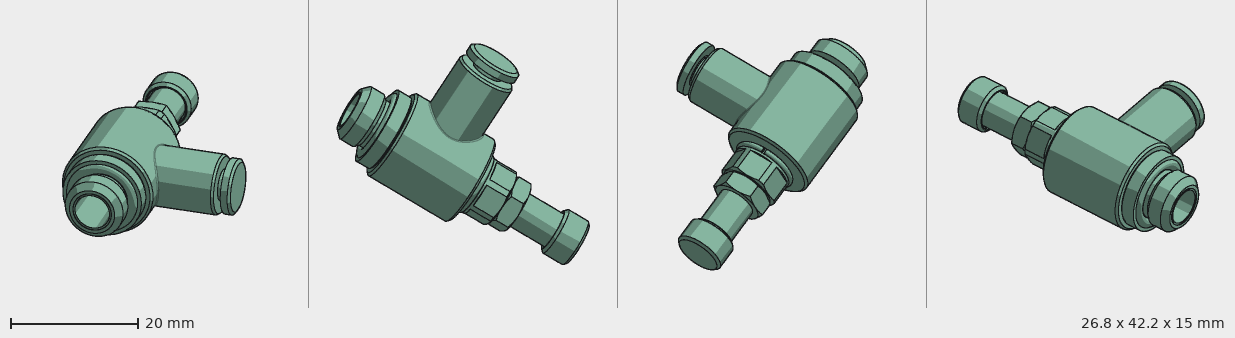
import cadquery as cq
import math


BARREL_D = 15.0
BARREL_LENGTH = BARREL_D
BARREL_CHAMFER = 0.4
BRANCH_D = 9.7
BRANCH_END_X = 16.7
BRANCH_CHAMFER_LENGTH = 0.42
BRANCH_CHAMFER_DEPTH = 0.25
BRANCH_ROOT_FILLET = 0.2
COLLET_NECK_D = 5.1
COLLET_ROOT_LENGTH = 0.15
COLLET_ROOT_HEIGHT = 0.13
COLLET_D = 9.0
COLLET_THICKNESS = 1.5
COLLET_CHAMFER_LENGTH = 0.4
COLLET_CHAMFER_DEPTH = 0.55
TOTAL_X = 26.8

CORE_D = 8.75
FLANGE_D = 13.0
FLANGE_THICKNESS = 2.5
FLANGE_CHAMFER = 0.2
SEAL_D = 11.9
SEAL_PROTRUSION = 0.55
NECK_D = 8.3
NECK_LENGTH = 0.97
THREAD_D = 9.6
THREAD_LENGTH = 4.15
THREAD_TIP_CHAMFER = 1.05
BORE_D = 5.7
BORE_MOUTH_D = 6.35
BORE_MOUTH_DEPTH = 0.1
ORIFICE_D = 2.7
ORIFICE_DEPTH = 4.22

RING_D = 10.48
RING_WIRE_D = 0.97
RING_GAP = 0.5
COLLAR_START_Y = 8.6
COLLAR_THICKNESS = 0.45
BIG_HEX_FLATS = 9.0
BIG_HEX_CORNER_D = 9.85
BIG_HEX_TOP_D = 8.75
BIG_HEX_END_Y = 13.15
NUT_FLATS = 8.0
NUT_THICKNESS = 2.9
HEX_CHAMFER_ANGLE = 30.0
STEM_D = 6.0
KNOB_D = 8.0
KNOB_LENGTH = 4.5
KNOB_TOP_CHAMFER = 0.42
KNOB_BOTTOM_CHAMFER = 0.5
KNOB_RECESS_D = 6.6
KNOB_RECESS_DEPTH = 0.5
TOTAL_Y = 42.25

BARREL_TOP_Y = BARREL_LENGTH / 2
BARREL_BOTTOM_Y = -BARREL_LENGTH / 2
FLANGE_BOTTOM_Y = BARREL_BOTTOM_Y - FLANGE_THICKNESS
THREAD_TOP_Y = FLANGE_BOTTOM_Y - NECK_LENGTH
THREAD_BOTTOM_Y = THREAD_TOP_Y - THREAD_LENGTH
COLLAR_END_Y = COLLAR_START_Y + COLLAR_THICKNESS
NUT_END_Y = BIG_HEX_END_Y + NUT_THICKNESS
KNOB_TOP_Y = THREAD_BOTTOM_Y + TOTAL_Y
KNOB_BOTTOM_Y = KNOB_TOP_Y - KNOB_LENGTH


def turned(profile):
    """Solid of revolution about Y from (diameter, y) points; the ends close on the axis."""
    points = [(diameter / 2, y) for diameter, y in profile]
    outline = [(0, points[0][1]), *points, (0, points[-1][1])]
    return cq.Workplane("XY").polyline(outline).close().revolve(360, (0, 0), (0, 1))


def cylinder_y(diameter, start_y, end_y):
    return turned([(diameter, start_y), (diameter, end_y)])


def torus_y(outer_d, wire_d, center_y):
    """Round ring about Y, given its outer and wire diameters, with its seam on the inner side."""
    wire_path_r = (outer_d - wire_d) / 2
    section = cq.Plane(origin=(wire_path_r, center_y, 0), xDir=(-1, 0, 0), normal=(0, 0, 1))
    return (
        cq.Workplane(section)
        .circle(wire_d / 2)
        .revolve(360, (wire_path_r, 0), (wire_path_r, 1))
    )


def hex_prism_y(flats, start_y, end_y):
    """Hexagon along Y with two flats square to Z and corners on X."""
    corner_d = flats / math.cos(math.pi / 6)
    return (
        cq.Workplane("XZ", origin=(0, start_y, 0))
        .polygon(6, corner_d)
        .extrude(start_y - end_y)
    )


def hex_chamfer_length(outer_d, face_d):
    return (outer_d - face_d) / 2 * math.tan(math.radians(HEX_CHAMFER_ANGLE))



def make_branch():
    """Outlet pipe, collet neck and collet, turned about Y and then laid along +X."""
    collet_start = TOTAL_X - BARREL_D / 2 - COLLET_THICKNESS
    collet_end = collet_start + COLLET_THICKNESS
    branch = cylinder_y(BRANCH_D, 0, BRANCH_END_X - BRANCH_CHAMFER_LENGTH)
    end_piece = turned([
        (BRANCH_D, BRANCH_END_X - BRANCH_CHAMFER_LENGTH),
        (BRANCH_D - 2 * BRANCH_CHAMFER_DEPTH, BRANCH_END_X),
        (COLLET_NECK_D, BRANCH_END_X),
        (COLLET_NECK_D, collet_start - COLLET_ROOT_LENGTH),
        (COLLET_NECK_D + 2 * COLLET_ROOT_HEIGHT, collet_start),
        (COLLET_D, collet_start),
        (COLLET_D, collet_end - COLLET_CHAMFER_LENGTH),
        (COLLET_D - 2 * COLLET_CHAMFER_DEPTH, collet_end),
    ])
    return [part.rotate((0, 0, 0), (0, 0, 1), -90) for part in (branch, end_piece)]


def make_swivel_body():
    barrel = cylinder_y(BARREL_D, BARREL_BOTTOM_Y, BARREL_TOP_Y).faces("<Y or >Y").chamfer(BARREL_CHAMFER)
    pipe, end_piece = make_branch()
    body = barrel.union(pipe).edges("not (%CIRCLE or %LINE)").fillet(BRANCH_ROOT_FILLET)
    bore = cylinder_y(CORE_D, BARREL_BOTTOM_Y, BARREL_TOP_Y)
    return body.union(end_piece).cut(bore)



def make_threaded_end():
    """Flange, seal, undercut neck and thread below the barrel."""
    cone = (THREAD_D - NECK_D) / 2
    shank = turned([
        (THREAD_D - 2 * THREAD_TIP_CHAMFER, THREAD_BOTTOM_Y),
        (THREAD_D, THREAD_BOTTOM_Y + THREAD_TIP_CHAMFER),
        (THREAD_D, THREAD_TOP_Y - cone),
        (NECK_D, THREAD_TOP_Y),
        (NECK_D, FLANGE_BOTTOM_Y),
        (FLANGE_D, FLANGE_BOTTOM_Y),
        (FLANGE_D, BARREL_BOTTOM_Y - FLANGE_CHAMFER),
        (FLANGE_D - 2 * FLANGE_CHAMFER, BARREL_BOTTOM_Y),
    ])
    seal_wire_d = (SEAL_D - NECK_D) / 2
    seal_center_y = FLANGE_BOTTOM_Y - SEAL_PROTRUSION + seal_wire_d / 2
    return shank.union(torus_y(SEAL_D, seal_wire_d, seal_center_y))


def make_retaining_ring():
    """Wire ring under the collar, open at its +Z side."""
    center_y = COLLAR_START_Y - RING_WIRE_D / 2
    gap = cq.Workplane("XY").box(RING_GAP, RING_WIRE_D, RING_D).translate((0, center_y, RING_D / 2))
    return torus_y(RING_D, RING_WIRE_D, center_y).cut(gap)


def make_big_hex():
    """Round-cornered hexagon with a round collar at its lower end."""
    chamfer = hex_chamfer_length(BIG_HEX_CORNER_D, BIG_HEX_TOP_D)
    envelope = turned([
        (BIG_HEX_CORNER_D, COLLAR_END_Y),
        (BIG_HEX_CORNER_D, BIG_HEX_END_Y - chamfer),
        (BIG_HEX_TOP_D, BIG_HEX_END_Y),
    ])
    collar = cylinder_y(BIG_HEX_CORNER_D, COLLAR_START_Y, COLLAR_END_Y)
    return hex_prism_y(BIG_HEX_FLATS, COLLAR_END_Y, BIG_HEX_END_Y).intersect(envelope).union(collar)


def make_lock_nut():
    """Hexagon with its corners chamfered at both ends."""
    corner_d = NUT_FLATS / math.cos(math.pi / 6)
    chamfer = hex_chamfer_length(corner_d, NUT_FLATS)
    envelope = turned([
        (NUT_FLATS, BIG_HEX_END_Y),
        (corner_d, BIG_HEX_END_Y + chamfer),
        (corner_d, NUT_END_Y - chamfer),
        (NUT_FLATS, NUT_END_Y),
    ])
    return hex_prism_y(NUT_FLATS, BIG_HEX_END_Y, NUT_END_Y).intersect(envelope)


def make_stem_and_knob():
    """Round stem carrying a knob with a clearance recess around the stem."""
    recess_floor_y = KNOB_BOTTOM_Y + KNOB_RECESS_DEPTH
    return turned([
        (STEM_D, NUT_END_Y),
        (STEM_D, recess_floor_y),
        (KNOB_RECESS_D, recess_floor_y),
        (KNOB_RECESS_D, KNOB_BOTTOM_Y),
        (KNOB_D - 2 * KNOB_BOTTOM_CHAMFER, KNOB_BOTTOM_Y),
        (KNOB_D, KNOB_BOTTOM_Y + KNOB_BOTTOM_CHAMFER),
        (KNOB_D, KNOB_TOP_Y - KNOB_TOP_CHAMFER),
        (KNOB_D - 2 * KNOB_TOP_CHAMFER, KNOB_TOP_Y),
    ])


def make_flow_bore():
    """Bore stepped at its mouth, reaching the outlet axis, then a narrower blind orifice."""
    return turned([
        (BORE_MOUTH_D, THREAD_BOTTOM_Y),
        (BORE_MOUTH_D, THREAD_BOTTOM_Y + BORE_MOUTH_DEPTH),
        (BORE_D, THREAD_BOTTOM_Y + BORE_MOUTH_DEPTH),
        (BORE_D, 0),
        (ORIFICE_D, 0),
        (ORIFICE_D, ORIFICE_DEPTH),
    ])


def make_hollow_screw():
    core = cylinder_y(CORE_D, BARREL_BOTTOM_Y, COLLAR_START_Y)
    features = [
        make_threaded_end(),
        make_retaining_ring(),
        make_big_hex(),
        make_lock_nut(),
        make_stem_and_knob(),
    ]
    screw = core
    for feature in features:
        screw = screw.union(feature)
    return screw.cut(make_flow_bore())


swivel_body = make_swivel_body()
hollow_screw = make_hollow_screw()

result = cq.Compound.makeCompound([swivel_body.val(), hollow_screw.val()])